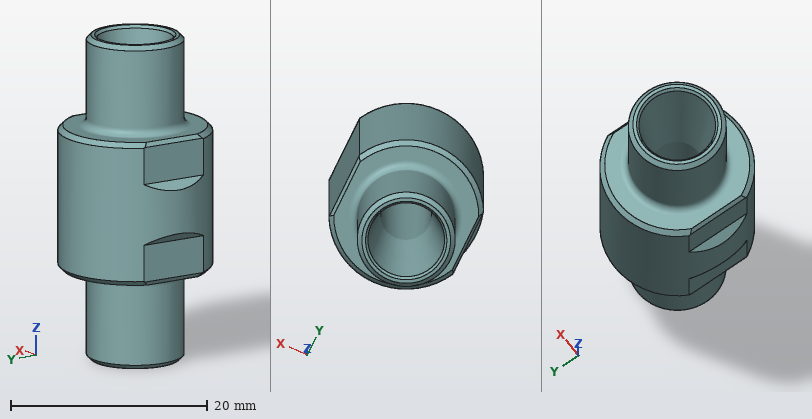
import cadquery as cq
import math

total_length = 34.0
body_diameter = 15.8
body_length = 15.03
body_chamfer = 0.5
body_radius = body_diameter / 2
half_length = total_length / 2
half_body = body_length / 2

spigot_diameter = 10.0
spigot_chamfer = 0.48
root_fillet = 0.8
spigot_radius = spigot_diameter / 2

bore_diameter = 5.2
seat_mouth_diameter = 8.3
seat_half_angle = 8.0
lead_in_width = 0.25
lead_in_depth = 0.3
bore_radius = bore_diameter / 2
seat_mouth_radius = seat_mouth_diameter / 2
seat_top_radius = seat_mouth_radius - lead_in_width
seat_depth = (seat_top_radius - bore_radius) / math.tan(math.radians(seat_half_angle))

flat_offset = 7.0
flat_length = 4.32
flat_chamfer_width = 0.3
flat_chamfer_height = 0.45
ramp_rise = body_radius - flat_offset
cutter_margin = 0.35


def make_body():
    """Chamfered cylinder with both spanner flats, centred on the origin."""
    body = cq.Workplane("XY").workplane(offset=-half_body).circle(body_radius).extrude(body_length)
    body = body.faces("<Z or >Z").chamfer(body_chamfer)
    return body.cut(full_flat()).cut(short_flat(1)).cut(short_flat(-1))


def extrude_across_body(points):
    """Extrude an XZ outline symmetrically over the full width of the body."""
    return cq.Workplane("XZ").polyline(points).close().extrude(body_radius, both=True)


def full_flat():
    """Cutter for the +X flat, with its bevelled end edges."""
    outer = body_radius + cutter_margin
    bevel_x = flat_offset - flat_chamfer_width
    bevel_z = half_body - flat_chamfer_height
    return extrude_across_body([
        (outer, -half_body),
        (bevel_x, -half_body),
        (flat_offset, -bevel_z),
        (flat_offset, bevel_z),
        (bevel_x, half_body),
        (outer, half_body),
    ])


def short_flat(end):
    """Cutter for the -X flat at the upper (1) or lower (-1) end of the body."""
    outer = body_radius + cutter_margin
    flat_end = half_body - flat_length
    return extrude_across_body([
        (-outer, end * half_body),
        (-flat_offset + flat_chamfer_width, end * half_body),
        (-flat_offset, end * (half_body - flat_chamfer_height)),
        (-flat_offset, end * flat_end),
        (-body_radius, end * (flat_end - ramp_rise)),
        (-outer, end * (flat_end - ramp_rise)),
    ])


def make_spigots():
    """Both spigots as one turned bar, flared by a concave fillet at each body face."""
    fillet_top = half_body + root_fillet
    arc_drop = root_fillet * (1 - math.sqrt(0.5))
    flare_radius = spigot_radius + root_fillet
    arc_middle_radius = spigot_radius + arc_drop
    arc_middle_z = half_body + arc_drop
    tip_radius = spigot_radius - spigot_chamfer
    chamfer_z = half_length - spigot_chamfer
    return (
        cq.Workplane("XZ")
        .moveTo(0, -half_length)
        .lineTo(tip_radius, -half_length)
        .lineTo(spigot_radius, -chamfer_z)
        .lineTo(spigot_radius, -fillet_top)
        .threePointArc((arc_middle_radius, -arc_middle_z), (flare_radius, -half_body))
        .lineTo(flare_radius, half_body)
        .threePointArc((arc_middle_radius, arc_middle_z), (spigot_radius, fillet_top))
        .lineTo(spigot_radius, chamfer_z)
        .lineTo(tip_radius, half_length)
        .lineTo(0, half_length)
        .close()
        .revolve(360, (0, 0, 0), (0, 1, 0))
    )


def make_bore():
    """Through bore with a lead-in and conical seat at each end."""
    seat_top = half_length - lead_in_depth
    seat_bottom = seat_top - seat_depth
    profile = [
        (0, -half_length),
        (seat_mouth_radius, -half_length),
        (seat_top_radius, -seat_top),
        (bore_radius, -seat_bottom),
        (bore_radius, seat_bottom),
        (seat_top_radius, seat_top),
        (seat_mouth_radius, half_length),
        (0, half_length),
    ]
    return cq.Workplane("XZ").polyline(profile).close().revolve(360, (0, 0, 0), (0, 1, 0))


result = make_body().union(make_spigots()).cut(make_bore())